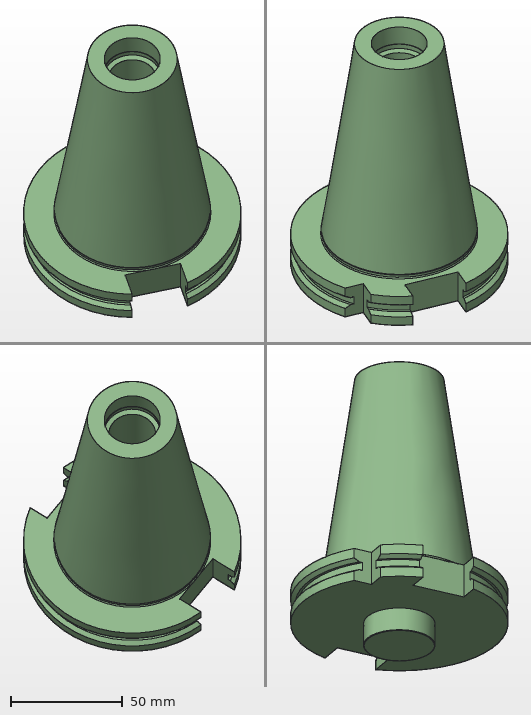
import cadquery as cq
import math

total_height = 131.6
flange_bottom = 11.0
flange_thickness = 15.9
flange_top = flange_bottom + flange_thickness

taper_ratio = 7 / 24
taper_diameter = 70.0
taper_bottom = 29.3
taper_top_diameter = taper_diameter - taper_ratio * (total_height - taper_bottom)
neck_diameter = 69.4
neck_top = 28.7
neck_foot = 0.5

flange_diameter = 97.4
groove_diameter = 90.8
groove_mouth_height = 6.6
groove_ledge_diameter = 93.2
groove_floor_height = 3.8
groove_middle = flange_bottom + flange_thickness / 2

pilot_diameter = 32.0
pilot_chamfer = 0.3

slot_width = 25.7
left_slot_floor = 37.6
right_slot_floor = 35.1

notch_corner = 29.7

mouth_diameter = 25.0
mouth_depth = 12.0
recess_diameter = 25.4
recess_height = 2.5
bore_diameter = 21.0
bore_depth = 52.6
drill_point_angle = 140.0


def revolved(profile):
    """Revolve a closed (radius, height) profile about the Z axis."""
    return cq.Workplane("XZ").polyline(profile).close().revolve(360, (0, 0, 0), (0, 1, 0))


def make_body():
    pilot_radius = pilot_diameter / 2
    flange_radius = flange_diameter / 2
    ledge_radius = groove_ledge_diameter / 2
    groove_radius = groove_diameter / 2
    neck_radius = neck_diameter / 2
    return revolved([
        (0, 0),
        (pilot_radius - pilot_chamfer, 0),
        (pilot_radius, pilot_chamfer),
        (pilot_radius, flange_bottom),
        (flange_radius, flange_bottom),
        (flange_radius, groove_middle - groove_mouth_height / 2),
        (ledge_radius, groove_middle - groove_floor_height / 2),
        (groove_radius, groove_middle - groove_floor_height / 2),
        (groove_radius, groove_middle + groove_floor_height / 2),
        (ledge_radius, groove_middle + groove_floor_height / 2),
        (flange_radius, groove_middle + groove_mouth_height / 2),
        (flange_radius, flange_top),
        (neck_radius + neck_foot, flange_top),
        (neck_radius, flange_top + neck_foot),
        (neck_radius, neck_top),
        (taper_diameter / 2, taper_bottom),
        (taper_top_diameter / 2, total_height),
        (0, total_height),
    ])


def make_bore():
    bore_radius = bore_diameter / 2
    mouth_radius = mouth_diameter / 2
    recess_radius = recess_diameter / 2
    shoulder = total_height - mouth_depth
    bore_end = total_height - bore_depth
    cone_tangent = math.tan(math.radians(drill_point_angle / 2))
    point_height = bore_radius / cone_tangent
    shoulder_drop = (recess_radius - bore_radius) / cone_tangent
    return revolved([
        (0, bore_end - point_height),
        (bore_radius, bore_end),
        (bore_radius, shoulder - shoulder_drop),
        (recess_radius, shoulder),
        (recess_radius, shoulder + recess_height),
        (mouth_radius, shoulder + recess_height),
        (mouth_radius, total_height),
        (0, total_height),
    ])


def flange_cutter(x_start, x_end, y_start, y_end):
    """Block through the full flange thickness between the given sides."""
    return (
        cq.Workplane("XY", origin=(x_start, y_start, flange_bottom))
        .box(x_end - x_start, y_end - y_start, flange_thickness, centered=False)
    )


outside = flange_diameter
half_slot = slot_width / 2
left_slot = flange_cutter(-outside, -left_slot_floor, -half_slot, half_slot)
right_slot = flange_cutter(right_slot_floor, outside, -half_slot, half_slot)
notch = flange_cutter(-outside, -notch_corner, notch_corner, outside)

result = make_body().cut(make_bore()).cut(left_slot).cut(right_slot).cut(notch)